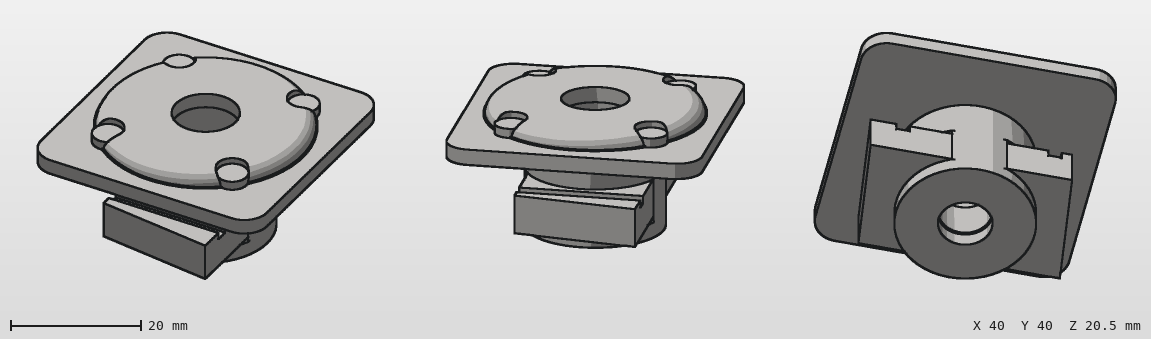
import cadquery as cq


cap_rim_diameter = 34.4
cap_rim_height = 0.15
dome_diameter = 34.0
cap_hole_diameter = 10.5
plate_top = -2.5
rim_top = plate_top + cap_rim_height
dome_edge_radius = -plate_top

plate_side = 40.0
plate_corner_radius = 4.0
plate_thickness = 2.5
plate_bottom = plate_top - plate_thickness
post_diameter = 5.0
post_hole_diameter = 5.1
post_spacing = 22.0
post_top = -1.0
barrel_diameter = 21.8
barrel_bottom = -20.5
bore_diameter = 19.8
outlet_diameter = 8.35
slot_width = 20.0
slot_height = 7.05
slot_floor = -18.0

bar_width = 19.4
bar_height = 6.15
bar_bottom = slot_floor + (slot_height - bar_height) / 2
bar_top = bar_bottom + bar_height
bar_reach = 17.1
bar_short_reach = 14.65
groove_width = 2.1
groove_depth = 1.15


def cylinder(diameter, bottom, top):
    """Upright cylinder on the Z axis between two heights."""
    return cq.Workplane("XY").workplane(offset=bottom).circle(diameter / 2).extrude(top - bottom)


def box(size_x, size_y, bottom, top):
    """Box centred on the Z axis between two heights."""
    return cq.Workplane("XY").workplane(offset=bottom).rect(size_x, size_y).extrude(top - bottom)


def corner_cylinders(diameter, bottom, top):
    """Four cylinders at the post positions."""
    base = cq.Workplane("XY").workplane(offset=bottom)
    corners = base.rect(post_spacing, post_spacing, forConstruction=True).vertices()
    return corners.circle(diameter / 2).extrude(top - bottom)


def make_cap():
    """Round-edged dome on a thin rim, with a central hole and clearance notches for the posts."""
    profile = (
        cq.Workplane("XZ")
        .moveTo(0, plate_top)
        .lineTo(dome_diameter / 2, plate_top)
        .radiusArc((dome_diameter / 2 - dome_edge_radius, 0), -dome_edge_radius)
        .lineTo(0, 0)
        .close()
    )
    dome = profile.revolve(360, (0, 0, 0), (0, 1, 0))
    cap = dome.union(cylinder(cap_rim_diameter, plate_top, rim_top))
    cap = cap.cut(cylinder(cap_hole_diameter, plate_top, 0))
    return cap.cut(corner_cylinders(post_hole_diameter, plate_top, 0))


def make_housing():
    """Square plate with four posts, above a hollow barrel slotted along Y."""
    plate = box(plate_side, plate_side, plate_bottom, plate_top).edges("|Z").fillet(plate_corner_radius)
    housing = plate.union(cylinder(barrel_diameter, barrel_bottom, plate_bottom))
    housing = housing.union(corner_cylinders(post_diameter, plate_top, post_top))
    housing = housing.cut(cylinder(bore_diameter, slot_floor, plate_top))
    housing = housing.cut(cylinder(outlet_diameter, barrel_bottom, slot_floor))
    slot = box(slot_width, barrel_diameter, slot_floor, slot_floor + slot_height)
    return housing.cut(slot)


def make_bar():
    """Bar with slanted parallel ends, a central hole and a groove just outside the barrel on each side."""
    half_width = bar_width / 2
    outline = [
        (-half_width, -bar_short_reach),
        (half_width, -bar_reach),
        (half_width, bar_short_reach),
        (-half_width, bar_reach),
    ]
    bar = cq.Workplane("XY").workplane(offset=bar_bottom).polyline(outline).close().extrude(bar_height)
    bar = bar.cut(cylinder(outlet_diameter, bar_bottom, bar_top))
    groove = box(bar_width, groove_width, bar_top - groove_depth, bar_top)
    for side in (-1, 1):
        groove_center = side * (barrel_diameter + groove_width) / 2
        bar = bar.cut(groove.translate((0, groove_center, 0)))
    return bar


cap = make_cap()
housing = make_housing()
bar = make_bar()

result = cq.Compound.makeCompound([cap.val(), housing.val(), bar.val()])